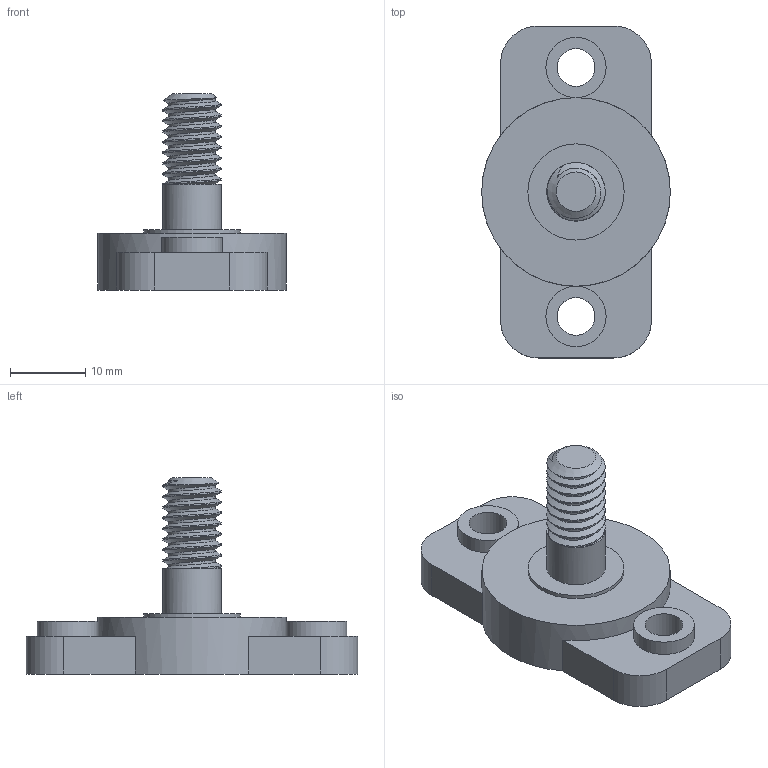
import cadquery as cq
import math

hub_diameter = 25.0
hub_height = 7.5
base_length = 44.0
ear_width = 20.0
ear_height = 5.0
ear_corner_radius = 5.0

boss_diameter = 8.0
boss_top = 7.0
mount_hole_diameter = 5.0
mount_hole_spacing = 33.0

collar_diameter = 12.75
collar_top = 8.0
shank_diameter = 7.75
shank_top = 14.0
stud_top = 26.0
tip_flat_diameter = 5.24
tip_chamfer_height = 0.9

thread_major_diameter = 7.74
thread_minor_diameter = 6.23
thread_pitch = 25.4 / 18
flank_half_angle = math.radians(30)
groove_root_width = thread_pitch / 4
first_groove_height = 13.97
groove_overshoot = 0.1
rod_end_allowance = 4.0
envelope_margin = 0.6


def disc(diameter, bottom, top):
    return cq.Workplane("XY").workplane(offset=bottom).circle(diameter / 2).extrude(top - bottom)


def make_base():
    ears = cq.Workplane("XY").rect(ear_width, base_length).extrude(ear_height)
    ears = ears.edges("|Z").fillet(ear_corner_radius)
    hole_centers = [(0, -mount_hole_spacing / 2), (0, mount_hole_spacing / 2)]
    bosses = cq.Workplane("XY").pushPoints(hole_centers).circle(boss_diameter / 2).extrude(boss_top)
    holes = cq.Workplane("XY").pushPoints(hole_centers).circle(mount_hole_diameter / 2).extrude(boss_top)
    return ears.union(bosses).union(disc(hub_diameter, 0, hub_height)).cut(holes)


def make_thread_groove():
    """Trapezoidal helical cutter that runs past both ends of the thread."""
    start_height = first_groove_height - thread_pitch
    helix_height = stud_top + thread_pitch - start_height
    root_radius = thread_minor_diameter / 2
    mouth_radius = thread_major_diameter / 2 + groove_overshoot
    root_half = groove_root_width / 2
    mouth_half = root_half + (mouth_radius - root_radius) * math.tan(flank_half_angle)
    helix = cq.Wire.makeHelix(thread_pitch, helix_height, root_radius)
    groove = (
        cq.Workplane("XZ")
        .moveTo(root_radius, -root_half)
        .lineTo(mouth_radius, -mouth_half)
        .lineTo(mouth_radius, mouth_half)
        .lineTo(root_radius, root_half)
        .close()
        .sweep(cq.Workplane(obj=helix), isFrenet=True)
    )
    return groove.translate((0, 0, start_height))


def make_tip_envelope():
    """Chamfered cylinder, slightly wider than the thread, that bounds its ends."""
    chamfer_width = (thread_major_diameter - tip_flat_diameter) / 2
    chamfer_slope = tip_chamfer_height / chamfer_width
    outer_radius = thread_major_diameter / 2 + envelope_margin
    shoulder_height = stud_top - tip_chamfer_height - envelope_margin * chamfer_slope
    return (
        cq.Workplane("XZ")
        .moveTo(0, shank_top)
        .lineTo(outer_radius, shank_top)
        .lineTo(outer_radius, shoulder_height)
        .lineTo(tip_flat_diameter / 2, stud_top)
        .lineTo(0, stud_top)
        .close()
        .revolve(360, (0, 0, 0), (0, 1, 0))
    )


def make_threaded_end():
    """Cut the groove in an over-long rod, then trim it to a chamfered length."""
    rod = disc(thread_major_diameter, shank_top - rod_end_allowance, stud_top + rod_end_allowance)
    threaded_rod = rod.cut(make_thread_groove())
    return threaded_rod.intersect(make_tip_envelope())


collar = disc(collar_diameter, hub_height, collar_top)
shank = disc(shank_diameter, collar_top, shank_top)
result = make_base().union(collar).union(shank).union(make_threaded_end())